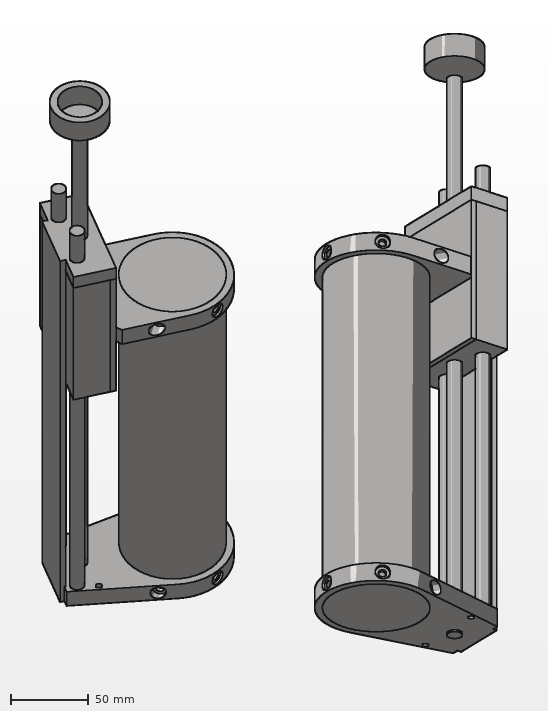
import cadquery as cq
import math

total_height = 425.8
base_bottom = 1.3
clamp_thickness = 12.8
base_top = base_bottom + clamp_thickness
tube_top = 253.5
frame_top = 306.5
cap_thickness = 10.0
carriage_top = frame_top - cap_thickness
carriage_bottom = 196.5
left_guide_top = 332.0
right_guide_top = 331.0

tube_diameter = 70.0
clamp_width = 80.0
clamp_radius = clamp_width / 2

overall_depth = 122.5
front_y = clamp_radius - overall_depth
cover_thickness = 4.0
cover_back_y = front_y + cover_thickness
base_front_y = cover_back_y - 1.0
carriage_back_y = -50.0
backing_thickness = 4.0
backing_front_y = carriage_back_y - backing_thickness

cover_width = 39.0
carriage_width = 73.2
base_front_width = 48.5
clamp_corner_length = 3.0

rod_diameter = 10.2
rod_y = -63.0
cup_diameter = 39.0
cup_bore_diameter = 29.0
cup_bore_depth = 16.0
cup_rim_bottom = 409.5
cup_cone_bottom = 402.8
guide_diameter = 10.0
guide_x = 20.0
guide_y = -71.0

screw_angles = [-150, -30, 30, 90, 150]
screw_head_diameter = 10.0
screw_shank_diameter = 5.0
screw_head_seat_radius = 38.0

base_hole_diameter = 4.15
base_hole_x = 25.0
base_hole_y = -58.0


def box(width, back_y, front, bottom, top):
    """A block centred on X, between two depths and two heights."""
    depth = back_y - front
    return (
        cq.Workplane("XY", origin=(0, (back_y + front) / 2, bottom))
        .rect(width, depth)
        .extrude(top - bottom)
    )


def upright(diameter, x, y, bottom, top):
    """A vertical cylinder."""
    return cq.Workplane("XY", origin=(x, y, bottom)).circle(diameter / 2).extrude(top - bottom)


def radial_cylinder(diameter, angle, start_radius, height):
    """A horizontal cylinder that runs outward from the tube axis."""
    length = 2 * clamp_radius - start_radius
    return (
        cq.Workplane("YZ", origin=(start_radius, 0, height))
        .circle(diameter / 2)
        .extrude(length)
        .rotate((0, 0, 0), (0, 0, 1), angle)
    )


def bore_clamp(clamp, bottom):
    """Cut the tube bore and the clamping screw holes into a clamp plate."""
    top = bottom + clamp_thickness
    middle = bottom + clamp_thickness / 2
    clamp = clamp.cut(upright(tube_diameter, 0, 0, bottom, top))
    for angle in screw_angles:
        clamp = clamp.cut(radial_cylinder(screw_shank_diameter, angle, 0, middle))
        clamp = clamp.cut(radial_cylinder(screw_head_diameter, angle, screw_head_seat_radius, middle))
    return clamp


def base_plate():
    """Lower clamp: a round end whose tangents taper to a narrow front edge."""
    half_front = base_front_width / 2
    corner_distance = math.hypot(half_front, base_front_y)
    tangent_angle = math.atan2(half_front, -base_front_y) + math.acos(clamp_radius / corner_distance)
    tangent_x = clamp_radius * math.sin(tangent_angle)
    tangent_y = -clamp_radius * math.cos(tangent_angle)
    plate = (
        cq.Workplane("XY", origin=(0, 0, base_bottom))
        .moveTo(-half_front, base_front_y)
        .lineTo(half_front, base_front_y)
        .lineTo(tangent_x, tangent_y)
        .threePointArc((0, clamp_radius), (-tangent_x, tangent_y))
        .close()
        .extrude(clamp_thickness)
    )
    for x in (-base_hole_x, base_hole_x):
        plate = plate.cut(upright(base_hole_diameter, x, base_hole_y, base_bottom, base_top))
    return bore_clamp(plate, base_bottom)


def cut_shafts(body):
    """Cut the clearance for the plunger rod and both guides."""
    return body.cut(plunger).cut(left_guide).cut(right_guide)


def make_plunger():
    """Rod with a cup at its top end."""
    profile = (
        cq.Workplane("XZ", origin=(0, rod_y, 0))
        .moveTo(0, 0)
        .lineTo(rod_diameter / 2, 0)
        .lineTo(rod_diameter / 2, cup_cone_bottom)
        .lineTo(cup_diameter / 2, cup_rim_bottom)
        .lineTo(cup_diameter / 2, total_height)
        .lineTo(cup_bore_diameter / 2, total_height)
        .lineTo(cup_bore_diameter / 2, total_height - cup_bore_depth)
        .lineTo(0, total_height - cup_bore_depth)
        .close()
    )
    return profile.revolve(360, (0, 0, 0), (0, 1, 0))


def make_guide(x, top):
    """Guide shaft that stands on the base."""
    return upright(guide_diameter, x, guide_y, base_top, top)


def make_frame():
    """Base, front cover and cap in one C-shaped piece."""
    cover = box(cover_width, cover_back_y, front_y, base_bottom, frame_top)
    cap = box(carriage_width, carriage_back_y, cover_back_y, carriage_top, frame_top)
    return cut_shafts(base_plate().union(cover).union(cap))


def make_upper_bracket():
    """Upper clamp with an upright backing plate on its front edge."""
    bottom = tube_top - clamp_thickness
    corner_y = carriage_back_y + clamp_corner_length
    clamp = (
        cq.Workplane("XY", origin=(0, 0, bottom))
        .moveTo(-carriage_width / 2, carriage_back_y)
        .lineTo(carriage_width / 2, carriage_back_y)
        .lineTo(clamp_radius, corner_y)
        .lineTo(clamp_radius, 0)
        .threePointArc((0, clamp_radius), (-clamp_radius, 0))
        .lineTo(-clamp_radius, corner_y)
        .close()
        .extrude(clamp_thickness)
    )
    backing = box(carriage_width, carriage_back_y, backing_front_y, carriage_bottom, carriage_top)
    return cut_shafts(bore_clamp(clamp, bottom).union(backing))


def make_carriage():
    """Block between the backing plate and the cover, bored for the rod and guides."""
    return cut_shafts(box(carriage_width, backing_front_y, cover_back_y, carriage_bottom, carriage_top))


tube = upright(tube_diameter, 0, 0, base_bottom, tube_top)
plunger = make_plunger()
left_guide = make_guide(-guide_x, left_guide_top)
right_guide = make_guide(guide_x, right_guide_top)
frame = make_frame()
upper_bracket = make_upper_bracket()
carriage = make_carriage()

result = cq.Compound.makeCompound([
    tube.val(),
    plunger.val(),
    left_guide.val(),
    right_guide.val(),
    *frame.solids().vals(),
    *upper_bracket.solids().vals(),
    *carriage.solids().vals(),
])